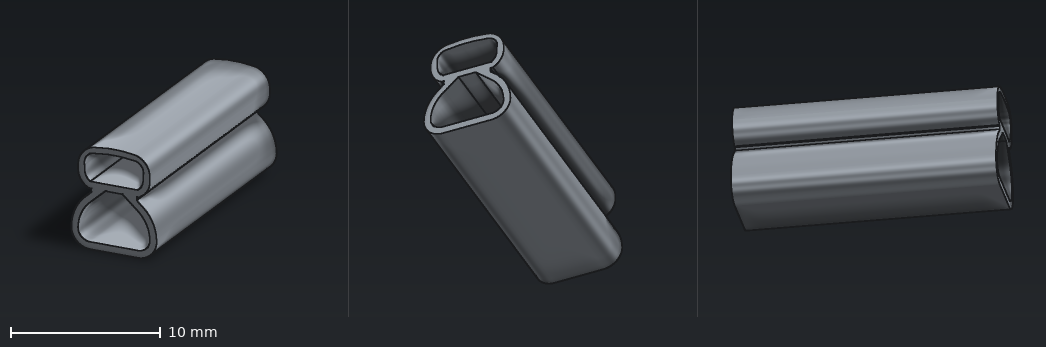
import cadquery as cq
import math

LENGTH = 18.0
HEIGHT = 7.49
WALL = 0.5
CROWN_WALL = 0.43

BASE_HALF_WIDTH = 3.19
BASE_RADIUS = 1.4
BASE_WALL = 0.54
SIDE_START_Z = 1.57
BOW_MIDDLE = (2.74, 3.02)
SHOULDER = (1.93, 3.9)
INNER_BOW_MIDDLE = (2.27, 2.8)
INNER_SHOULDER = (1.62, 3.51)
LOWER_ROOF_HALF_WIDTH = 0.63

NECK_HALF_WIDTH = 1.701
NECK_BOTTOM_Z = 4.14
NECK_TOP_Z = 4.37

BULB_HALF_WIDTH = 2.68
BULB_SIDE_BOTTOM_Z = 5.69
BULB_SIDE_TOP_Z = 5.95
BULB_FLOOR_HALF_WIDTH = 1.89
BULB_LOWER_MIDDLE = (2.41, 4.8)
BULB_UPPER_MIDDLE = (2.29, 6.95)
CROWN_HALF_WIDTH = 1.39
CROWN_DROP = 0.1
CROWN_RADIUS = (CROWN_HALF_WIDTH**2 + CROWN_DROP**2) / (2 * CROWN_DROP)

CAVITY_FLOOR_Z = NECK_TOP_Z + WALL
CAVITY_FLOOR_HALF_WIDTH = 1.76
CAVITY_LOWER_MIDDLE = (2.07, 5.22)
CAVITY_UPPER_MIDDLE = (1.98, 6.71)

BASE_FLAT_HALF_WIDTH = BASE_HALF_WIDTH - BASE_RADIUS


def extrude_symmetric(right_half):
    """Extrude a right half outline, which starts and ends on X = 0, with its mirror image."""
    return right_half.mirrorY().extrude(LENGTH / 2, both=True)


def corner_arc(outline, radius, center_z):
    """Round a bottom corner up to the start of the bowed side."""
    rise = SIDE_START_Z - center_z
    middle_offset = radius * math.sqrt(0.5)
    middle = (BASE_FLAT_HALF_WIDTH + middle_offset, center_z - middle_offset)
    end = (BASE_FLAT_HALF_WIDTH + math.sqrt(radius**2 - rise**2), SIDE_START_Z)
    return outline.threePointArc(middle, end)


def add_crown(outline, top_z):
    """Add the right half of the crown, ending at its highest point."""
    middle_x = CROWN_HALF_WIDTH / 2
    middle_drop = CROWN_RADIUS - math.sqrt(CROWN_RADIUS**2 - middle_x**2)
    middle = (middle_x, top_z - middle_drop)
    return outline.threePointArc(middle, (0, top_z))


def outer_body():
    outline = cq.Workplane("XZ").lineTo(BASE_FLAT_HALF_WIDTH, 0)
    outline = corner_arc(outline, BASE_RADIUS, BASE_RADIUS)
    outline = (
        outline.threePointArc(BOW_MIDDLE, SHOULDER)
        .lineTo(NECK_HALF_WIDTH, NECK_BOTTOM_Z)
        .lineTo(NECK_HALF_WIDTH, NECK_TOP_Z)
        .lineTo(BULB_FLOOR_HALF_WIDTH, NECK_TOP_Z)
        .threePointArc(BULB_LOWER_MIDDLE, (BULB_HALF_WIDTH, BULB_SIDE_BOTTOM_Z))
        .lineTo(BULB_HALF_WIDTH, BULB_SIDE_TOP_Z)
        .threePointArc(BULB_UPPER_MIDDLE, (CROWN_HALF_WIDTH, HEIGHT - CROWN_DROP))
    )
    return extrude_symmetric(add_crown(outline, HEIGHT))


def upper_cavity():
    side_x = BULB_HALF_WIDTH - WALL
    top_z = HEIGHT - CROWN_WALL
    outline = (
        cq.Workplane("XZ")
        .moveTo(0, CAVITY_FLOOR_Z)
        .lineTo(CAVITY_FLOOR_HALF_WIDTH, CAVITY_FLOOR_Z)
        .threePointArc(CAVITY_LOWER_MIDDLE, (side_x, BULB_SIDE_BOTTOM_Z))
        .lineTo(side_x, BULB_SIDE_TOP_Z)
        .threePointArc(CAVITY_UPPER_MIDDLE, (CROWN_HALF_WIDTH, top_z - CROWN_DROP))
    )
    return extrude_symmetric(add_crown(outline, top_z))


def lower_cavity():
    radius = BASE_RADIUS - WALL
    outline = cq.Workplane("XZ").moveTo(0, BASE_WALL).lineTo(BASE_FLAT_HALF_WIDTH, BASE_WALL)
    outline = corner_arc(outline, radius, BASE_WALL + radius)
    outline = (
        outline.threePointArc(INNER_BOW_MIDDLE, INNER_SHOULDER)
        .lineTo(LOWER_ROOF_HALF_WIDTH, NECK_TOP_Z)
        .lineTo(0, NECK_TOP_Z)
    )
    return extrude_symmetric(outline)


result = outer_body().cut(upper_cavity()).cut(lower_cavity())